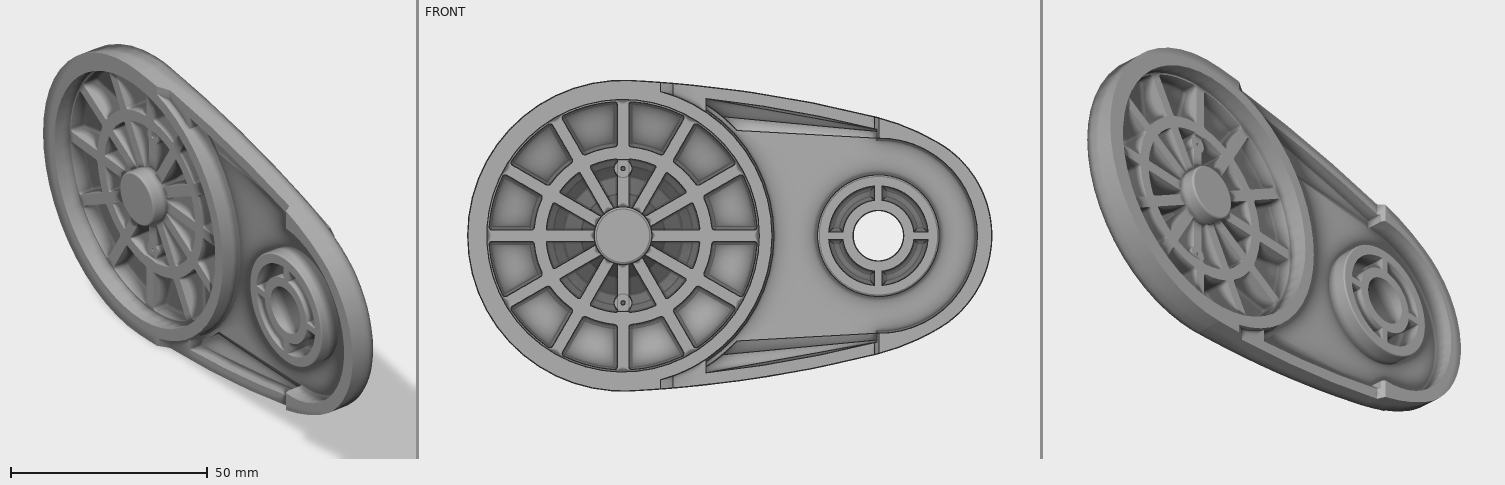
import cadquery as cq
import math


DOME_RADIUS = 39.48
DOME_WALL_HEIGHT = 6.4
DOME_SHOULDER = (38.0, 9.2)
DOME_FLANK = (28.0, 13.6)
DOME_BREAK = (17.7, 16.05)
DOME_CROWN = (13.3, 18.31)
DOME_HEIGHT = 19.0
DOME_TOP = (10.7, DOME_HEIGHT)
SKIN = 2.0
BOWL_RADIUS = 34.6
CELL_RADIUS = 34.1
BOWL_WALL_TOP = 8.8
RING_RADIUS = 37.8

RIB_FACE = 4.8
RIB_COUNT = 12
RIB_WIDTH = 2.9
OUTER_RIB_FOOT = 0.8
INNER_RIB_FOOT = 0.4
RIB_RING_OUTER = 22.6
RIB_RING_INNER = 19.6
HUB_RADIUS = 7.3
HUB_FACE = 0.5
HUB_EDGE = 0.5
HUB_FOOT_START = 9.3
HUB_FOOT_MIDDLE = (10.7, 13.6)
HUB_FOOT_END = (16.0, 16.0)
PIN_OFFSET = 17.0
PIN_RADIUS = 2.3
PIN_FACE = 5.6
PIN_HOLE_RADIUS = 0.5
PIN_HOLE_DEPTH = 2.7

LENGTH = 133.2
ARM_TIP = LENGTH - DOME_RADIUS
TIP_RADIUS = 27.3
TIP_CENTRE = ARM_TIP - TIP_RADIUS
TIP_ARC_X = 79.9
SIDE_START_X = 2.0
SIDE_END = (64.3, 30.1)
ARM_BACK = 9.2
ARM_BACK_FALL = 0.017
ARM_EDGE = 2.4
FLOOR = 5.3
FLOOR_EDGE = 0.5

SIDE_RIM_WIDTH = 3.0
SIDE_RIM_START_X = 21.0
STEP_X = 64.5
STEP_Z = 24.8
CAVITY_ARC_MID = (80.2, 19.7)
CAVITY_TIP = 90.0

RIDGE_STATIONS = (1.7, 20.0, 40.0, 59.9, 73.2)
RIDGE_INSET = 1.5
RIDGE_TOP = 14.0
RIDGE_FALL = 0.064
RIDGE_DRAFT = 2.3
RIDGE_CREST = 2.4
RIDGE_ROOT = 1.0

POCKET_WALL_RADIUS = 39.4
POCKET_ROOT_START = (30.6, 8.0)
POCKET_ROOT_END = (26.5, 5.7)
POCKET_FLOOR_EDGE_START = 27.2

NOTCH_DEPTH = 1.9
NOTCH_START = 9.5
NOTCH_START_RAMP = 3.2
NOTCH_END_RAMP = 0.5

BORE_X = 64.8
BORE_RADIUS = 6.4
BOSS_RADIUS = 15.5
BOSS_EDGE = 0.4
BACK_BOSS_RADIUS = 12.2
BACK_BOSS_TOP = 9.9
SLOT_OUTER = 12.6
SLOT_INNER = 9.0
SLOT_DEPTH = 6.0
SLOT_BRIDGE = 1.9
SLOT_EDGE = 1.0

SIDE_START_Z = math.sqrt(DOME_RADIUS**2 - SIDE_START_X**2)
CHORD_X = SIDE_START_X - SIDE_END[0]
CHORD_Z = SIDE_START_Z - SIDE_END[1]
SIDE_RADIUS = (
    (CHORD_X**2 + CHORD_Z**2) * DOME_RADIUS / (2 * (CHORD_X * SIDE_START_X + CHORD_Z * SIDE_START_Z))
)
SIDE_CENTRE_X = SIDE_START_X * (1 - SIDE_RADIUS / DOME_RADIUS)
SIDE_CENTRE_Z = SIDE_START_Z * (1 - SIDE_RADIUS / DOME_RADIUS)

TIP_BOX = ((STEP_X + 1.3, 0, -DOME_RADIUS), (LENGTH, DOME_HEIGHT, DOME_RADIUS))


def side_z(x):
    return SIDE_CENTRE_Z + math.sqrt(SIDE_RADIUS**2 - (x - SIDE_CENTRE_X) ** 2)


def arm_back(x):
    return ARM_BACK - ARM_BACK_FALL * x


def plane_at(y):
    """XZ workplane at depth y; a negative extrusion goes toward the back."""
    return cq.Workplane("XZ", origin=(0, y, 0))


def disc(radius, y_from, y_to, x=0.0, z=0.0):
    return plane_at(y_from).center(x, z).circle(radius).extrude(y_from - y_to)


def tube(outer, inner, y_from, y_to, x=0.0):
    return disc(outer, y_from, y_to, x).cut(disc(inner, y_from, y_to, x))


def section(x, points):
    """Closed wire across the arm at x, through (Z, Y) points."""
    return cq.Wire.makePolygon([cq.Vector(x, y, z) for z, y in points], close=True)


def loft(sections):
    """Straight loft between two sections, smooth loft through more."""
    return cq.Workplane("XY").newObject([cq.Solid.makeLoft(sections, len(sections) == 2)])


def both_sides(shape):
    return shape.union(shape.mirror("XY"))


def revolved(profile):
    return profile.revolve(360, (0, 0), (0, 1))


def dome_outside():
    profile = (
        cq.Workplane("XY")
        .lineTo(DOME_RADIUS, 0)
        .lineTo(DOME_RADIUS, DOME_WALL_HEIGHT)
        .tangentArcPoint(DOME_SHOULDER, relative=False)
        .threePointArc(DOME_FLANK, DOME_BREAK)
        .threePointArc(DOME_CROWN, DOME_TOP)
        .lineTo(0, DOME_HEIGHT)
        .close()
    )
    return revolved(profile)


def dome_hollow():
    """Space between the rib faces and the skin of the dome."""
    profile = (
        cq.Workplane("XY")
        .moveTo(0, RIB_FACE)
        .lineTo(CELL_RADIUS, RIB_FACE)
        .lineTo(CELL_RADIUS, BOWL_WALL_TOP)
        .lineTo(DOME_BREAK[0], DOME_BREAK[1] - SKIN)
        .threePointArc((DOME_CROWN[0], DOME_CROWN[1] - SKIN), (DOME_TOP[0], DOME_TOP[1] - SKIN))
        .lineTo(0, DOME_HEIGHT - SKIN)
        .close()
    )
    return revolved(profile)


def hub_foot():
    """Hub that widens toward the crown of the dome."""
    profile = (
        cq.Workplane("XY")
        .moveTo(0, RIB_FACE)
        .lineTo(HUB_RADIUS, RIB_FACE)
        .lineTo(HUB_RADIUS, HUB_FOOT_START)
        .lineTo(*HUB_FOOT_MIDDLE)
        .lineTo(*HUB_FOOT_END)
        .lineTo(HUB_FOOT_END[0], DOME_HEIGHT - SKIN)
        .lineTo(0, DOME_HEIGHT - SKIN)
        .close()
    )
    return revolved(profile)


def cell(hollow, r_from, r_to, foot):
    """Rounded space between two neighbouring ribs, the first of them along +X."""
    reach = 2 * DOME_RADIUS
    pitch = math.radians(360 / RIB_COUNT)
    half_rib = RIB_WIDTH / 2
    corner = (half_rib / math.tan(pitch / 2), half_rib)
    far_first = (reach, half_rib)
    far_second = (
        reach * math.cos(pitch) + half_rib * math.sin(pitch),
        reach * math.sin(pitch) - half_rib * math.cos(pitch),
    )
    sector = plane_at(0).polyline([corner, far_first, far_second]).close().extrude(-DOME_HEIGHT)
    space = hollow.intersect(sector).intersect(tube(r_to, r_from, 0, DOME_HEIGHT))
    return space.edges("not <Y").fillet(foot)


def dome_cells():
    hollow = dome_hollow().cut(hub_foot())
    pair = [
        cell(hollow, RIB_RING_OUTER, CELL_RADIUS, OUTER_RIB_FOOT).val(),
        cell(hollow, HUB_RADIUS, RIB_RING_INNER, INNER_RIB_FOOT).val(),
    ]
    cells = [
        space.rotate((0, 0, 0), (0, 1, 0), 360 / RIB_COUNT * i)
        for i in range(RIB_COUNT)
        for space in pair
    ]
    return cq.Workplane("XY").newObject(cells).combine()


def lowered_rib():
    """Slice off the face of the inner rib that runs along +Z."""
    reach = PIN_OFFSET + PIN_RADIUS
    strip = plane_at(RIB_FACE).center(0, reach / 2)
    return strip.rect(2 * PIN_RADIUS, reach).extrude(RIB_FACE - PIN_FACE)


def pin_boss():
    return disc(PIN_RADIUS, PIN_FACE, DOME_BREAK[1] - SKIN / 2, 0, PIN_OFFSET)


def pin_hole():
    return disc(PIN_HOLE_RADIUS, PIN_FACE, PIN_FACE + PIN_HOLE_DEPTH, 0, PIN_OFFSET)


def hub():
    return disc(HUB_RADIUS, HUB_FACE, PIN_FACE).faces("<Y").edges().fillet(HUB_EDGE)


def arm_slab():
    tip_arc_z = math.sqrt(TIP_RADIUS**2 - (TIP_ARC_X - TIP_CENTRE) ** 2)
    tip_arc_mid = math.atan2(tip_arc_z, TIP_ARC_X - TIP_CENTRE) / 2
    outline = (
        plane_at(0)
        .lineTo(0, SIDE_START_Z)
        .lineTo(SIDE_START_X, SIDE_START_Z)
        .threePointArc((SIDE_END[0] / 2, side_z(SIDE_END[0] / 2)), SIDE_END)
        .tangentArcPoint((TIP_ARC_X, tip_arc_z), relative=False)
        .threePointArc(
            (TIP_CENTRE + TIP_RADIUS * math.cos(tip_arc_mid), TIP_RADIUS * math.sin(tip_arc_mid)),
            (ARM_TIP, 0),
        )
        .mirrorX()
    )
    side = [(0, 0), (LENGTH, 0), (LENGTH, arm_back(LENGTH)), (0, arm_back(0))]
    wedge = cq.Workplane("XY").polyline(side).close().extrude(LENGTH, both=True)
    slab = outline.extrude(-DOME_HEIGHT).intersect(wedge)
    return slab.faces(">Y").edges("not |Z").fillet(ARM_EDGE)


def ridge():
    sections = []
    for x in RIDGE_STATIONS:
        outer = side_z(x) - RIDGE_INSET
        top = RIDGE_TOP - RIDGE_FALL * x
        crest = outer - RIDGE_DRAFT * (top - arm_back(x))
        inner = crest - RIDGE_CREST
        base = arm_back(x) - RIDGE_ROOT
        points = [(outer, base), (outer, arm_back(x)), (crest, top), (inner, top), (inner, base)]
        sections.append(section(x, points))
    return loft(sections)


def arm_cavity():
    mid_x = (SIDE_RIM_START_X + STEP_X) / 2
    rim_start, rim_mid, rim_end = [
        (x, side_z(x) - SIDE_RIM_WIDTH) for x in (SIDE_RIM_START_X, mid_x, STEP_X)
    ]
    outline = (
        plane_at(0)
        .moveTo(SIDE_RIM_START_X, 0)
        .lineTo(*rim_start)
        .threePointArc(rim_mid, rim_end)
        .lineTo(STEP_X, STEP_Z)
        .threePointArc(CAVITY_ARC_MID, (CAVITY_TIP, 0))
        .mirrorX()
    )
    cavity = outline.extrude(-FLOOR)
    cavity = cavity.faces(">Y").edges(cq.selectors.BoxSelector(*TIP_BOX)).fillet(FLOOR_EDGE)
    ring_foot = disc(RING_RADIUS + FLOOR_EDGE, FLOOR - FLOOR_EDGE, FLOOR)
    ring_foot = ring_foot.faces("<Y").edges().chamfer(0.99 * FLOOR_EDGE)
    return cavity.cut(disc(RING_RADIUS, 0, FLOOR)).cut(ring_foot)


def pocket():
    def cross_section(x, root, floor_edge):
        rim = side_z(x) - SIDE_RIM_WIDTH
        return section(x, [(rim, FLOOR), root, (floor_edge, FLOOR), (floor_edge, NOTCH_DEPTH)])

    groove = loft(
        [
            cross_section(SIDE_RIM_START_X, POCKET_ROOT_START, POCKET_FLOOR_EDGE_START),
            cross_section(STEP_X, POCKET_ROOT_END, STEP_Z),
        ]
    )
    return groove.cut(disc(POCKET_WALL_RADIUS, 0, DOME_HEIGHT))


def rim_notch():
    profile = [
        (NOTCH_START, 0),
        (NOTCH_START + NOTCH_START_RAMP, NOTCH_DEPTH),
        (STEP_X - NOTCH_END_RAMP, NOTCH_DEPTH),
        (STEP_X + NOTCH_END_RAMP, 0),
    ]
    notch = cq.Workplane("XY").polyline(profile).close().extrude(DOME_RADIUS, both=True)
    return notch.cut(disc(RING_RADIUS, 0, NOTCH_DEPTH))


def bore_boss():
    boss = disc(BOSS_RADIUS, 0, FLOOR, BORE_X).faces("<Y").edges().fillet(BOSS_EDGE)
    return boss.union(disc(BACK_BOSS_RADIUS, FLOOR, BACK_BOSS_TOP, BORE_X))


def boss_slots():
    slots = tube(SLOT_OUTER, SLOT_INNER, 0, SLOT_DEPTH, BORE_X)
    cross = plane_at(0).center(BORE_X, 0)
    for size in ((2 * BOSS_RADIUS, SLOT_BRIDGE), (SLOT_BRIDGE, 2 * BOSS_RADIUS)):
        slots = slots.cut(cross.rect(*size).extrude(-SLOT_DEPTH))
    return slots.faces(">Y").edges().fillet(SLOT_EDGE)


body = dome_outside().union(arm_slab()).union(both_sides(ridge()))
body = body.cut(arm_cavity()).cut(both_sides(pocket())).cut(rim_notch())
body = body.cut(disc(BOWL_RADIUS, 0, RIB_FACE)).cut(dome_cells())
body = body.cut(both_sides(lowered_rib())).union(hub())
body = body.union(both_sides(pin_boss())).cut(both_sides(pin_hole()))
body = body.union(bore_boss()).cut(boss_slots())
result = body.cut(disc(BORE_RADIUS, 0, DOME_HEIGHT, BORE_X))